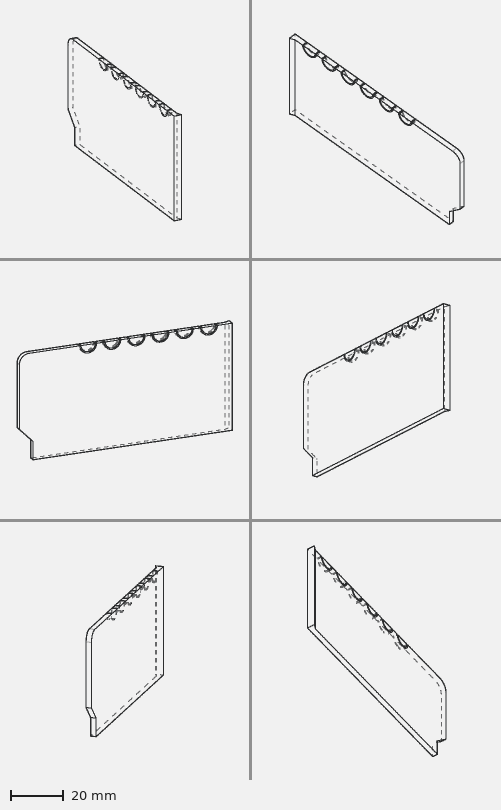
import cadquery as cq

length = 88.2
height = 43.0
thickness = 2.2

corner_radius = 4.0
foot_inset = 5.65
foot_height = 7.4
foot_chamfer = 5.65

lip_depth = 3.2
lip_width = 2.1

ring_count = 6
first_ring_x = 28.7
ring_row_length = 50.0
ring_pitch = ring_row_length / (ring_count - 1)
ring_diameter = 6.5
ring_width = 0.5
ring_floor = 0.4


def make_plate():
    """Plate outline in XZ, extruded from the front face to the back face."""
    outline = (
        cq.Workplane("XZ")
        .moveTo(foot_inset, 0)
        .lineTo(length, 0)
        .lineTo(length, height)
        .lineTo(corner_radius, height)
        .radiusArc((0, height - corner_radius), -corner_radius)
        .lineTo(0, foot_height + foot_chamfer)
        .lineTo(foot_inset, foot_height)
        .close()
    )
    return outline.extrude(-thickness)


def make_lip():
    """Wedge on the back face that rises to the +X edge, over the full height."""
    profile = [
        (length - lip_width, thickness),
        (length, thickness),
        (length, lip_depth),
    ]
    return cq.Workplane("XY").polyline(profile).close().extrude(height)


def make_ring_grooves():
    """Ring cutters whose lower halves cut the back face down to the remaining floor."""
    centers = [(first_ring_x + index * ring_pitch, height) for index in range(ring_count)]
    outer_radius = (ring_diameter + ring_width) / 2
    inner_radius = (ring_diameter - ring_width) / 2
    groove_depth = thickness - ring_floor
    back_face = cq.Workplane("XZ", origin=(0, thickness, 0)).pushPoints(centers)
    outer_discs = back_face.circle(outer_radius).extrude(groove_depth)
    inner_discs = back_face.circle(inner_radius).extrude(groove_depth)
    return outer_discs.cut(inner_discs)


result = make_plate().union(make_lip()).cut(make_ring_grooves())